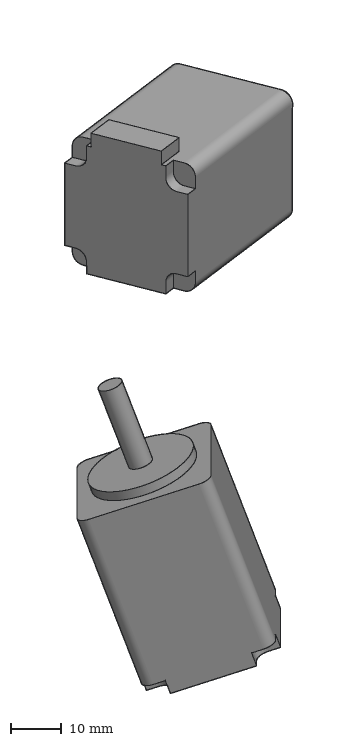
import cadquery as cq

total_length = 61.0
body_width = 28.0
corner_radius = 2.5

pilot_diameter = 22.0
pilot_length = 2.0
shaft_diameter = 5.0
shaft_length = 18.0
body_length = total_length - pilot_length - shaft_length

notch_width = 5.0
notch_depth = 3.0
notch_radius = 2.5
connector_width = 16.0
connector_length = 7.0
connector_height = 3.0


def make_body():
    """Square prism with rounded long edges."""
    body = cq.Workplane("XY").box(body_width, body_length, body_width, centered=(True, False, True))
    return body.edges("|Y").fillet(corner_radius)


def make_cylinder(diameter, start, length):
    """Cylinder on the motor axis, running from Y = start towards +Y."""
    return cq.Workplane("XZ", origin=(0, start, 0)).circle(diameter / 2).extrude(-length)


def make_notch(side_x, side_z):
    """Rear corner cutter, rounded on all four of its long edges and centred on the body's corner."""
    corner = body_width / 2
    cutter = (
        cq.Workplane("XZ", origin=(side_x * corner, 0, side_z * corner))
        .rect(2 * notch_width, 2 * notch_width)
        .extrude(-notch_depth)
    )
    return cutter.edges("|Y").fillet(notch_radius)


def make_connector():
    """Rectangular block standing on the top face, flush with the rear face."""
    base = cq.Workplane("XY", origin=(0, 0, body_width / 2))
    return base.box(connector_width, connector_length, connector_height, centered=(True, False, False))


result = make_body()
for side_x in (-1, 1):
    for side_z in (-1, 1):
        result = result.cut(make_notch(side_x, side_z))

result = (
    result.union(make_connector())
    .union(make_cylinder(pilot_diameter, body_length, pilot_length))
    .union(make_cylinder(shaft_diameter, body_length + pilot_length, shaft_length))
)